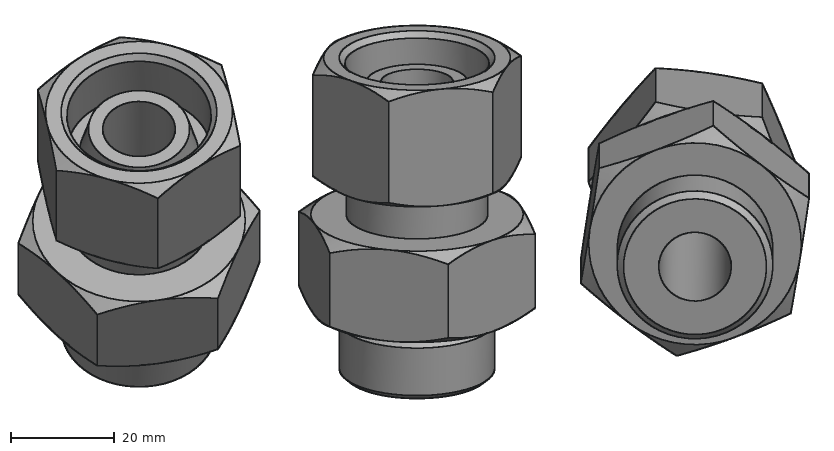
import cadquery as cq
import math

total_height = 65.0
union_nut_height = 24.0
union_nut_bottom = total_height - union_nut_height
body_hex_bottom = 14.05
body_hex_height = 18.8
thread_top = 11.95

union_nut_corners = 41.6
body_hex_corners = 47.3
hex_chamfer_angle = 30.0

neck_diameter = 27.35
thread_diameter = 30.0
thread_end_diameter = 27.55
thread_chamfer_height = 1.1
thread_chamfer_width = (thread_diameter - thread_end_diameter) / 2

socket_diameter = 27.8
socket_depth = 11.75
socket_rim_diameter = 30.0
socket_chamfer = (socket_rim_diameter - socket_diameter) / 2
nipple_tip_diameter = 19.5
nipple_base_diameter = 22.95
nipple_tip_depth = 4.95
bore_diameter = 14.0


def revolve_profile(points):
    """Turn a closed (radius, height) outline about the fitting axis."""
    return cq.Workplane("XZ").polyline(points).close().revolve(360, (0, 0), (0, 1))


def cylinder(diameter, bottom, top):
    return cq.Workplane("XY").workplane(offset=bottom).circle(diameter / 2).extrude(top - bottom)


def chamfered_hex(corner_diameter, bottom, height, rotation):
    """Hexagonal prism whose corners are turned down conically at both ends."""
    prism = cq.Workplane("XY").polygon(6, corner_diameter).extrude(height)
    corner_radius = corner_diameter / 2
    flat_radius = corner_radius * math.cos(math.pi / 6)
    drop = (corner_radius - flat_radius) * math.tan(math.radians(hex_chamfer_angle))
    envelope = revolve_profile([
        (0, 0),
        (flat_radius, 0),
        (corner_radius, drop),
        (corner_radius, height - drop),
        (flat_radius, height),
        (0, height),
    ])
    turned = prism.intersect(envelope)
    return turned.rotate((0, 0, 0), (0, 0, 1), rotation).translate((0, 0, bottom))


def threaded_end():
    end = cylinder(thread_diameter, 0, thread_top)
    return end.faces("<Z or >Z").chamfer(thread_chamfer_height, thread_chamfer_width)


def union_nut_socket():
    """Chamfered blind socket, leaving the tapered nipple in its centre."""
    floor = total_height - socket_depth
    socket = cylinder(socket_diameter, floor, total_height)
    rim = revolve_profile([
        (0, total_height - socket_chamfer),
        (socket_diameter / 2, total_height - socket_chamfer),
        (socket_rim_diameter / 2, total_height),
        (0, total_height),
    ])
    nipple_tip = total_height - nipple_tip_depth
    nipple = revolve_profile([
        (0, floor),
        (nipple_base_diameter / 2, floor),
        (nipple_tip_diameter / 2, nipple_tip),
        (0, nipple_tip),
    ])
    return socket.union(rim).cut(nipple)


body_hex = chamfered_hex(body_hex_corners, body_hex_bottom, body_hex_height, 0)
union_nut = chamfered_hex(union_nut_corners, union_nut_bottom, union_nut_height, 90)
neck = cylinder(neck_diameter, 0, union_nut_bottom)
bore = cylinder(bore_diameter, 0, total_height)

result = threaded_end().union(neck).union(body_hex).union(union_nut)
result = result.cut(union_nut_socket()).cut(bore)